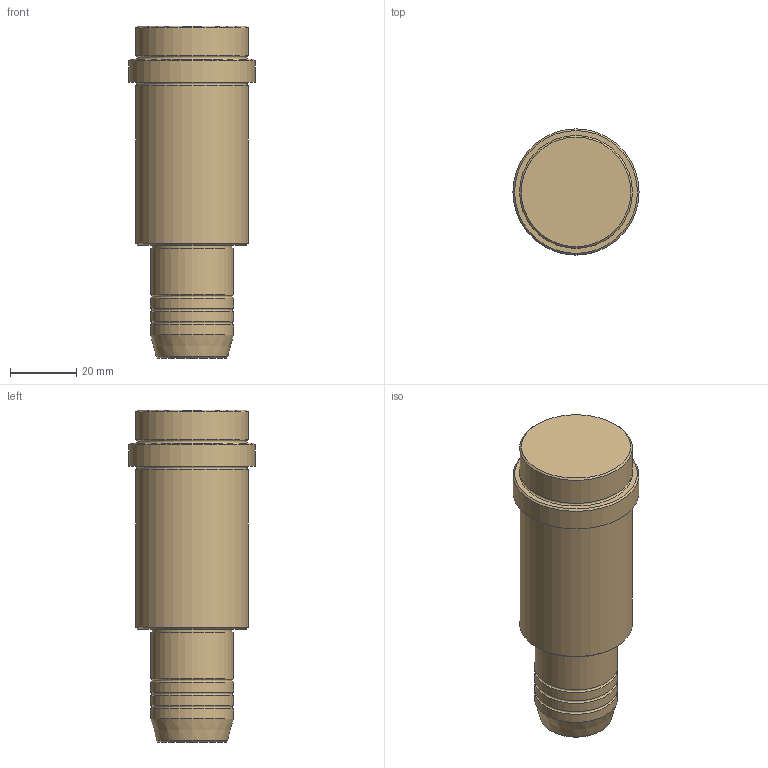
import cadquery as cq
import math

full_turn = 360.0

total_height = 100.0
shoulder_z = 34.0
collar_bottom_z = 83.0
collar_top_z = 90.0
tip_length = 7.0

body_radius = 17.0
collar_radius = 19.0
pin_radius = 12.5

edge_chamfer = 0.5
undercut_depth = 0.5
undercut_height = 1.0
groove_radius = 0.5
pin_groove_pitch = 4.0
pin_groove_count = 3
lowest_pin_groove_z = 10.5

tip_half_angle = math.radians(15.0)
tip_radius = pin_radius - (tip_length - edge_chamfer) * math.tan(tip_half_angle)

lower_neck_z = collar_bottom_z - groove_radius
upper_neck_z = collar_top_z + groove_radius


def revolve_profile(profile):
    """Turn a closed half profile around the Z axis."""
    return profile.revolve(full_turn, (0, 0, 0), (0, 1, 0))


def make_pin():
    """Shank undercut below the shoulder, with a conical tip and a chamfered end."""
    undercut_radius = pin_radius - undercut_depth
    undercut_z = shoulder_z - undercut_height
    return revolve_profile(
        cq.Workplane("XZ")
        .moveTo(0, shoulder_z)
        .lineTo(undercut_radius, shoulder_z)
        .lineTo(undercut_radius, undercut_z)
        .lineTo(pin_radius, undercut_z)
        .lineTo(pin_radius, tip_length)
        .lineTo(tip_radius, edge_chamfer)
        .lineTo(tip_radius - edge_chamfer, 0)
        .lineTo(0, 0)
        .close()
    )


def make_body():
    """Barrel and head of one diameter with the collar around them."""
    chamfered_radius = body_radius - edge_chamfer
    barrel = revolve_profile(
        cq.Workplane("XZ")
        .moveTo(0, shoulder_z)
        .lineTo(chamfered_radius, shoulder_z)
        .lineTo(body_radius, shoulder_z + edge_chamfer)
        .lineTo(body_radius, total_height - edge_chamfer)
        .lineTo(chamfered_radius, total_height)
        .lineTo(0, total_height)
        .close()
    )
    collar = revolve_profile(
        cq.Workplane("XZ")
        .moveTo(0, collar_bottom_z)
        .lineTo(collar_radius, collar_bottom_z)
        .lineTo(collar_radius, collar_top_z - edge_chamfer)
        .lineTo(collar_radius - edge_chamfer, collar_top_z)
        .lineTo(0, collar_top_z)
        .close()
    )
    return barrel.union(collar)


def make_round_groove(surface_radius, center_z):
    """Half-round ring that cuts a groove into a cylinder of the given radius."""
    lower_edge = (surface_radius, center_z - groove_radius)
    upper_edge = (surface_radius, center_z + groove_radius)
    groove_bottom = (surface_radius - groove_radius, center_z)
    return revolve_profile(
        cq.Workplane("XZ")
        .moveTo(*lower_edge)
        .lineTo(*upper_edge)
        .threePointArc(groove_bottom, lower_edge)
        .close()
    )


result = make_pin().union(make_body())
for neck_z in (lower_neck_z, upper_neck_z):
    result = result.cut(make_round_groove(body_radius, neck_z))
for index in range(pin_groove_count):
    pin_groove_z = lowest_pin_groove_z + index * pin_groove_pitch
    result = result.cut(make_round_groove(pin_radius, pin_groove_z))